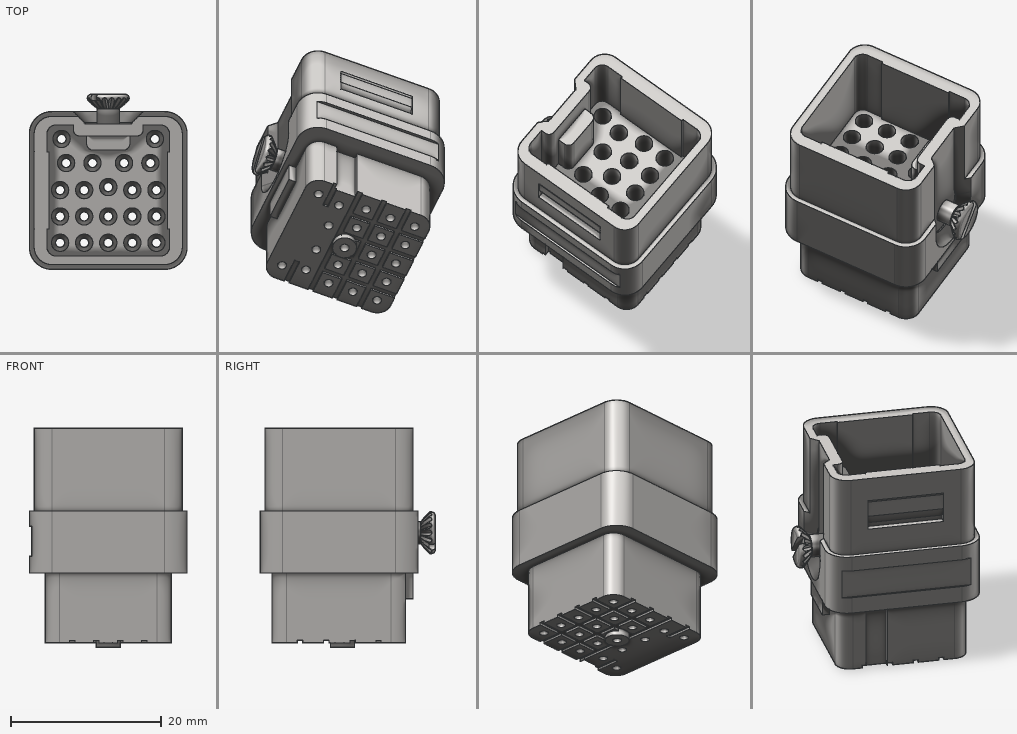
import cadquery as cq
import math

lower_height = 9.3
flange_height = 8.25
upper_height = 11.0
flange_top = lower_height + flange_height
part_top = flange_top + upper_height
cavity_depth = 11.5
cavity_floor = part_top - cavity_depth

flange_width = 21.0
flange_radius = 3.0
upper_width = 19.7
upper_radius = flange_radius - (flange_width - upper_width) / 2
lower_width = 16.8
lower_length = 17.8
lower_radius = 1.95
lower_center_y = -0.05

cavity_width = 16.32
cavity_length = 17.44
cavity_radius = 1.25
side_pad_thickness = 0.27
side_pad_length = 10.25
key_width = 9.3
key_face_y = 7.25
key_radius = 0.85
rib_width = 5.75
rib_face_y = 5.35
rib_radius = 0.9
rib_drop = 4.0
rib_top = part_top - rib_drop

screw_drop = 2.9
screw_z = flange_top - screw_drop
recess_mouth_radius = 4.65
recess_floor_y = 8.83
cone_depth = 1.45
shaft_diameter = 3.0
shaft_embedding = 0.5
head_diameter = 5.6
head_face_diameter = 4.5
head_projection = 2.3
head_face_y = flange_width / 2 + head_projection
head_rim_y = head_face_y - (head_diameter - head_face_diameter) / 2
head_band_depth = 0.75
head_cone_y = head_face_y - head_band_depth
head_thickness = 2.0
head_base_y = head_face_y - head_thickness
tooth_count = 18
tooth_groove_depth = 0.3
tooth_groove_overrun = 0.15
screw_slot_width = 1.0
screw_slot_depth = 0.85
screw_slot_angle = 45

bore_diameter = 2.3
pin_diameter = 1.18
bore_depth = 5.0
cone_height = 1.8
column_pitch = 3.2
row_pitch = 3.5
front_row_y = -6.95
row_ys = [front_row_y + row * row_pitch for row in range(3)]
center_hole = (0, 0.45)
inner_row_y = 3.65
inner_row_xs = [-5.6, -2.1, 2.1, 5.6]
outer_row_y = 6.85
outer_row_xs = [-6.2, 6.2]

boss_diameter = 3.2
boss_height = 0.6
groove_width = 0.7
groove_depth = 0.35
tab_width = 6.4
tab_embedding = 1.0
tab_height = 3.45

label_height = 3.95
label_depth = 0.3
label_drop = 2.05
label_top = flange_top - label_drop
window_length = 10.3
window_height = 4.2
window_drop = 3.25
window_top = part_top - window_drop
window_depth = 0.85
latch_recess = 0.15
latch_top_bevel = 0.28
latch_flat_height = 2.1
latch_slope_height = 1.27
channel_y_min = 2.2
channel_y_max = 5.14
channel_depth = 0.7


def block(x_min, x_max, y_min, y_max, z_min, z_max):
    size = (x_max - x_min, y_max - y_min, z_max - z_min)
    return cq.Workplane("XY").box(*size, centered=False).translate((x_min, y_min, z_min))


def rounded_block(width, length, radius, z_min, z_max, center_y=0):
    box = block(-width / 2, width / 2, -length / 2, length / 2, z_min, z_max)
    return box.edges("|Z").fillet(radius).translate((0, center_y, 0))


def make_body():
    lower = rounded_block(lower_width, lower_length, lower_radius, 0, lower_height, lower_center_y)
    flange = rounded_block(flange_width, flange_width, flange_radius, lower_height, flange_top)
    upper = rounded_block(upper_width, upper_width, upper_radius, flange_top, part_top)
    lower_back = lower_center_y + lower_length / 2
    tab = block(-tab_width / 2, tab_width / 2, lower_back - tab_embedding, upper_width / 2,
                lower_height - tab_height, lower_height)
    return lower.union(flange).union(upper).union(tab)


def make_cavity():
    cavity = rounded_block(cavity_width, cavity_length, cavity_radius, cavity_floor, part_top)
    half_pad = side_pad_length / 2
    pad_x = cavity_width / 2 - side_pad_thickness
    for x_min in (-cavity_width / 2, pad_x):
        cavity = cavity.cut(block(x_min, x_min + side_pad_thickness, -half_pad, half_pad,
                                  cavity_floor, part_top))
    back_y = upper_width / 2
    key = block(-key_width / 2, key_width / 2, key_face_y, back_y, cavity_floor, part_top)
    rib = block(-rib_width / 2, rib_width / 2, rib_face_y, back_y, cavity_floor, rib_top)
    cavity = cavity.cut(key.edges("|Z and <Y").fillet(key_radius))
    return cavity.cut(rib.edges("|Z and <Y").fillet(rib_radius))


def revolve_about_screw(profile):
    """Revolve a closed (radius, y) profile about the screw axis."""
    return profile.close().revolve(360, (0, 0, 0), (0, 1, 0)).translate((0, 0, screw_z))


def make_screw_recess():
    """Half-cone seat below the screw axis, open upward as a tapered slot."""
    mouth_y = flange_width / 2
    cone_end_y = mouth_y - cone_depth
    cone_end_radius = recess_mouth_radius - cone_depth
    seat = revolve_about_screw(
        cq.Workplane("XY")
        .moveTo(0, recess_floor_y)
        .lineTo(cone_end_radius, recess_floor_y)
        .lineTo(cone_end_radius, cone_end_y)
        .lineTo(recess_mouth_radius, mouth_y)
        .lineTo(0, mouth_y)
    )
    floor_half = recess_mouth_radius - (mouth_y - recess_floor_y)
    slot = (
        cq.Workplane("XY", origin=(0, 0, screw_z))
        .polyline([
            (-recess_mouth_radius, mouth_y),
            (-floor_half, recess_floor_y),
            (floor_half, recess_floor_y),
            (recess_mouth_radius, mouth_y),
        ])
        .close()
        .extrude(part_top - screw_z)
    )
    return seat.union(slot)


def make_screw():
    shaft_radius = shaft_diameter / 2
    head_radius = head_diameter / 2
    face_radius = head_face_diameter / 2
    shoulder_radius = face_radius + (head_radius - face_radius) * math.sqrt(0.5)
    shoulder_y = head_rim_y + (head_face_y - head_rim_y) * math.sqrt(0.5)
    head = revolve_about_screw(
        cq.Workplane("XY")
        .moveTo(0, head_base_y)
        .lineTo(shaft_radius, head_base_y)
        .lineTo(head_radius, head_cone_y)
        .lineTo(head_radius, head_rim_y)
        .threePointArc((shoulder_radius, shoulder_y), (face_radius, head_face_y))
        .lineTo(0, head_face_y)
    )
    groove_half = math.pi * (shaft_radius + head_radius) / 2 / tooth_count
    cone_run = head_radius - shaft_radius
    cone_rise = head_cone_y - head_base_y
    cone_length = math.hypot(cone_run, cone_rise)
    along_cone = cq.Vector(cone_run, cone_rise, 0)
    groove_plane = cq.Plane(
        origin=(shaft_radius, head_base_y, screw_z), xDir=(0, 0, 1), normal=along_cone
    )
    groove = (
        cq.Workplane(groove_plane)
        .polyline([(-groove_half, 0), (groove_half, 0), (0, -tooth_groove_depth)])
        .close()
        .extrude(cone_length + 2 * tooth_groove_overrun)
        .translate(-along_cone.normalized() * tooth_groove_overrun)
    )
    for tooth in range(tooth_count):
        angle = tooth * 360 / tooth_count
        head = head.cut(groove.rotate((0, 0, screw_z), (0, 1, screw_z), angle))
    driver_slot = (
        cq.Workplane("XY")
        .box(head_diameter, screw_slot_depth, screw_slot_width)
        .rotate((0, 0, 0), (0, 1, 0), screw_slot_angle)
        .translate((0, head_face_y - screw_slot_depth / 2, screw_z))
    )
    shaft = revolve_about_screw(
        cq.Workplane("XY")
        .moveTo(0, recess_floor_y - shaft_embedding)
        .lineTo(shaft_radius, recess_floor_y - shaft_embedding)
        .lineTo(shaft_radius, head_base_y)
        .lineTo(0, head_base_y)
    )
    return head.cut(driver_slot).union(shaft)


def contact_points():
    points = [center_hole]
    for row_y in row_ys:
        for column in range(-2, 3):
            at_center = column == 0 and row_y == row_ys[-1]
            if not at_center:
                points.append((column * column_pitch, row_y))
    points += [(x, inner_row_y) for x in inner_row_xs]
    points += [(x, outer_row_y) for x in outer_row_xs]
    return points


def make_contact_holes():
    """Stepped holes: wide bore, conical shoulder, pin hole through the bottom."""
    bore_bottom = cavity_floor - bore_depth
    hole = (
        cq.Workplane("XZ")
        .moveTo(0, -boss_height)
        .lineTo(pin_diameter / 2, -boss_height)
        .lineTo(pin_diameter / 2, bore_bottom - cone_height)
        .lineTo(bore_diameter / 2, bore_bottom)
        .lineTo(bore_diameter / 2, cavity_floor)
        .lineTo(0, cavity_floor)
        .close()
        .revolve(360, (0, 0, 0), (0, 1, 0))
    )
    holes = cq.Workplane("XY")
    for x, y in contact_points():
        holes = holes.add(hole.translate((x, y, 0)))
    return holes.combine()


def make_underside_grooves():
    """Shallow grooves between the contact rows and columns."""
    half = groove_width / 2
    reach_x = lower_width / 2
    front_y = lower_center_y - lower_length / 2
    cross_ys = [row_y + row_pitch / 2 for row_y in row_ys]
    grooves = cq.Workplane("XY")
    for y in cross_ys:
        grooves = grooves.add(block(-reach_x, reach_x, y - half, y + half, 0, groove_depth))
    column_xs = [(column - 0.5) * column_pitch for column in range(-1, 3)]
    for x in column_xs:
        grooves = grooves.add(block(x - half, x + half, front_y, cross_ys[-1], 0, groove_depth))
    corner_y = (inner_row_y + outer_row_y) / 2
    for x_min, x_max in ((-reach_x, column_xs[0]), (column_xs[-1], reach_x)):
        grooves = grooves.add(block(x_min, x_max, corner_y - half, corner_y + half, 0, groove_depth))
    return grooves.combine()


def make_center_boss():
    return (
        cq.Workplane("XY", origin=(*center_hole, -boss_height))
        .circle(boss_diameter / 2)
        .extrude(boss_height + groove_depth)
    )


def make_label_recess():
    outer_x = -flange_width / 2
    half = flange_width / 2
    return block(outer_x, outer_x + label_depth, -half, half, label_top - label_height, label_top)


def make_latch_window():
    """Side pocket whose upper part is filled by a ramped latch."""
    wall_x = -upper_width / 2
    latch_x = wall_x + latch_recess
    latch_top = window_top - latch_top_bevel
    latch_bottom = latch_top - latch_flat_height
    ramp_bottom = latch_bottom - latch_slope_height
    window_bottom = window_top - window_height
    return (
        cq.Workplane("XZ", origin=(0, window_length / 2, 0))
        .polyline([
            (wall_x, window_top),
            (latch_x, latch_top),
            (latch_x, latch_bottom),
            (wall_x + window_depth, ramp_bottom),
            (wall_x + window_depth, window_bottom),
            (wall_x, window_bottom),
        ])
        .close()
        .extrude(window_length)
    )


def make_side_channel():
    outer_x = -lower_width / 2
    return block(outer_x, outer_x + channel_depth, channel_y_min, channel_y_max, 0, lower_height)


result = (
    make_body()
    .cut(make_cavity())
    .cut(make_screw_recess())
    .cut(make_label_recess())
    .cut(make_latch_window())
    .cut(make_side_channel())
    .cut(make_underside_grooves())
    .union(make_center_boss())
    .cut(make_contact_holes())
    .union(make_screw())
)